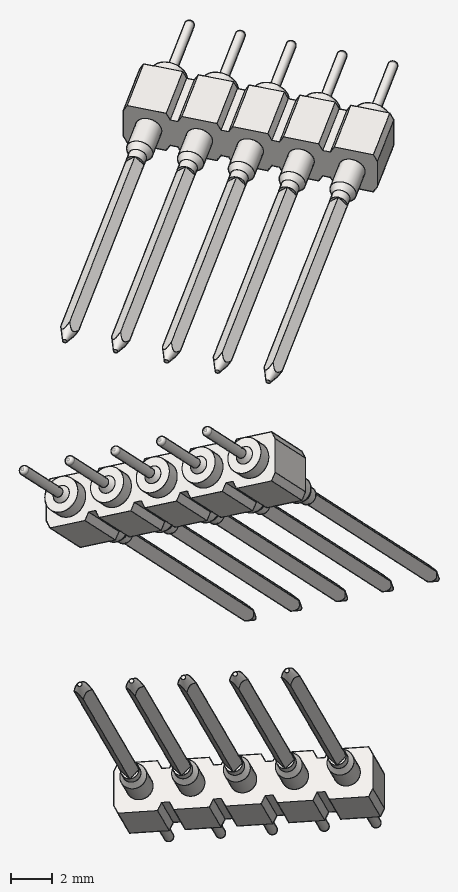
import cadquery as cq
import math

pin_count = 5
housing_width = 12.7
pitch = housing_width / pin_count
housing_height = 2.55
housing_length = 2.93

notch_depth = 0.4
notch_floor_width = 0.38
flank_run = 0.2

sleeve_radius = 0.66
sleeve_length = 1.59
taper_length = 0.35
neck_length = 0.5

post_side = 0.65
post_corner_radius = post_side / math.sqrt(2)
post_length = 11.58
neck_radius = 0.45
tip_radius = 0.11
tip_length = 0.9

collar_radius = 0.92
collar_length = 0.75
flare_radius = 0.45
flare_length = 0.27
tail_radius = 0.25
tail_length = 3.49
tail_end_rounding = 0.18

sleeve_front = -sleeve_length
taper_front = sleeve_front - taper_length
post_back = taper_front - neck_length
post_front = post_back - post_length
tip_front = post_front - tip_length
collar_back = housing_length + collar_length
flare_back = collar_back + flare_length
tail_back = flare_back + tail_length


def extrude_back(outline, start, length):
    """Extrude an XZ outline from Y = start towards +Y."""
    return outline.extrude(-length).translate((0, start, 0))


def notch_prism(x, side):
    """Trapezoidal groove at x in the upper (side = 1) or lower (side = -1) face."""
    top = side * housing_height / 2
    floor = top - side * notch_depth
    half_floor = notch_floor_width / 2
    half_mouth = half_floor + flank_run
    corners = [
        (x - half_mouth, top),
        (x - half_floor, floor),
        (x + half_floor, floor),
        (x + half_mouth, top),
    ]
    return extrude_back(cq.Workplane("XZ").polyline(corners).close(), 0, housing_length)


def corner_prism(end, side):
    """Wedge removed from one long corner of the housing."""
    edge = end * housing_width / 2
    top = side * housing_height / 2
    corners = [(edge, top), (edge - end * flank_run, top), (edge, top - side * notch_depth)]
    return extrude_back(cq.Workplane("XZ").polyline(corners).close(), 0, housing_length)


def make_housing():
    block = cq.Workplane("XZ").rect(housing_width, housing_height)
    housing = extrude_back(block, 0, housing_length)
    for side in (-1, 1):
        for gap in range(1, pin_count):
            housing = housing.cut(notch_prism(gap * pitch - housing_width / 2, side))
        for end in (-1, 1):
            housing = housing.cut(corner_prism(end, side))
    return housing


def make_turned_body():
    """Round stretches of the pin, from the neck to the rounded tail end."""
    arc_middle = tail_end_rounding * math.sqrt(0.5)
    rounding_x = tail_radius - tail_end_rounding
    rounding_y = tail_back - tail_end_rounding
    return (
        cq.Workplane("XY")
        .moveTo(0, post_back)
        .lineTo(neck_radius, post_back)
        .lineTo(neck_radius, taper_front)
        .lineTo(sleeve_radius, sleeve_front)
        .lineTo(sleeve_radius, housing_length)
        .lineTo(collar_radius, housing_length)
        .lineTo(collar_radius, collar_back)
        .lineTo(flare_radius, collar_back)
        .lineTo(tail_radius, flare_back)
        .lineTo(tail_radius, rounding_y)
        .threePointArc((rounding_x + arc_middle, rounding_y + arc_middle), (rounding_x, tail_back))
        .lineTo(0, tail_back)
        .close()
        .revolve(360, (0, 0, 0), (0, 1, 0))
    )


def make_post():
    """Square post with its end trimmed to a cone that just meets the post corners."""
    square = cq.Workplane("XZ").polygon(4, 2 * post_corner_radius)
    bar = extrude_back(square, tip_front, post_length + tip_length)
    envelope = (
        cq.Workplane("XY")
        .moveTo(0, tip_front)
        .lineTo(tip_radius, tip_front)
        .lineTo(post_corner_radius, post_front)
        .lineTo(post_corner_radius, post_back)
        .lineTo(0, post_back)
        .close()
        .revolve(360, (0, 0, 0), (0, 1, 0))
    )
    return bar.intersect(envelope)


pin = make_turned_body().union(make_post())
result = make_housing()
for index in range(pin_count):
    pin_x = (index + 0.5) * pitch - housing_width / 2
    result = result.union(pin.translate((pin_x, 0, 0)))